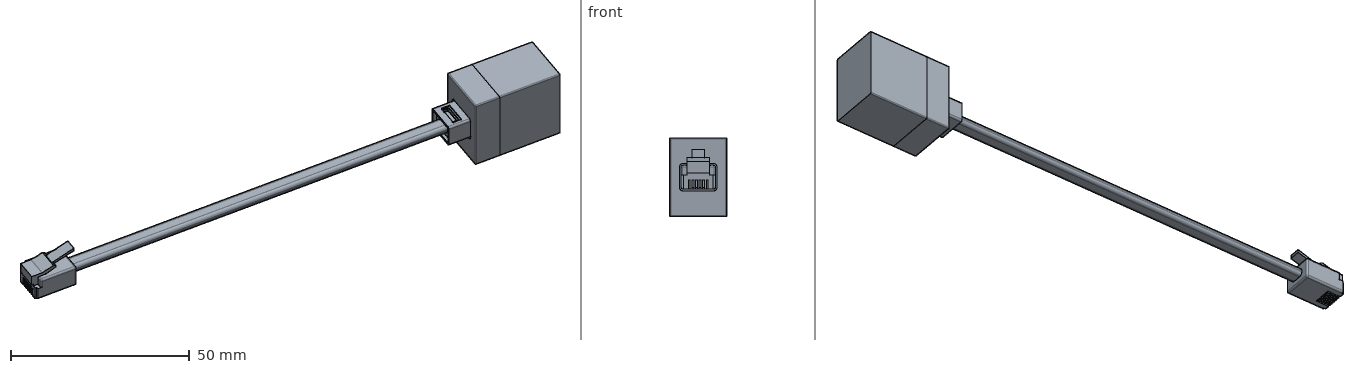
import cadquery as cq

housing_width = 16.0
housing_height = 22.0
housing_back_y = 83.5
housing_seam_y = 64.0
housing_front_y = 56.2
housing_edge_radius = 0.3

socket_width = 10.5
socket_height = 7.7
socket_depth = 2.5
socket_corner_radius = 1.0
body_width = 9.7
body_height = 6.7
edge_radius = 0.58
relief_front_y = 49.5

recess_width = 6.8
recess_front_y = 51.7
recess_length = 2.7
recess_step_count = 3
recess_step_depth = 0.3
recess_step_inset = 0.5

entry_width = 8.3
entry_height = 5.3
entry_depth = 1.0

cable_width = 4.7
cable_height = 2.7
cable_edge_radius = 1.08

plug_back_y = -70.0
plug_front_y = -83.0
plug_end_radius = 0.5
front_step_width = 8.3
front_step_length = 0.5
shoulder_y = -81.5
shoulder_z = 0.7
nose_width = 6.3
nose_front_y = -83.5
nose_bottom_z = 1.2
nose_top_z = 4.3
nose_root_y = -81.1

arm_hinge_y = -80.1
arm_step_y = -75.6
arm_tip_y = -69.1
arm_tip_z = 7.7
arm_underside_y = -79.0
arm_thickness = 1.0
arm_width = 3.5
arm_bevel_length = 0.8
arm_bevel_drop = 0.5
arm_top_offset = 0.25

slot_count = 6
contact_count = 4
slot_pitch = 1.0
slot_width = 0.5
slot_top_z = -0.8
slot_end_y = -78.8
contact_setback = 0.5


def box(width, y_start, y_end, z_bottom, z_top, x_center=0.0):
    """Block centred on x_center between the given Y and Z limits."""
    return (
        cq.Workplane("XY")
        .box(width, y_end - y_start, z_top - z_bottom, centered=(True, False, False))
        .translate((x_center, y_start, z_bottom))
    )


def rounded_bar(width, height, radius, y_start, y_end):
    """Bar along Y, centred on the cable axis, with its long edges rounded."""
    bar = box(width, y_start, y_end, -height / 2, height / 2)
    return bar.edges("|Y").fillet(radius)


def extrude_profile(points, width):
    """Solid with the given YZ outline, centred across X."""
    return cq.Workplane("YZ").polyline(points).close().extrude(width / 2, both=True)


def row_positions(count):
    """X positions of a centred row at the contact pitch."""
    return [(i - (count - 1) / 2) * slot_pitch for i in range(count)]


def make_housing_rear():
    half_height = housing_height / 2
    rear = box(housing_width, housing_seam_y, housing_back_y, -half_height, half_height)
    return rear.edges("|Y").fillet(housing_edge_radius)


def make_housing_front():
    half_height = housing_height / 2
    cap = box(housing_width, housing_front_y, housing_seam_y, -half_height, half_height)
    cap = cap.edges("|Y or <Y").fillet(housing_edge_radius)
    socket = rounded_bar(
        socket_width, socket_height, socket_corner_radius, housing_front_y, housing_front_y + socket_depth
    )
    return cap.cut(socket)


def make_strain_relief():
    relief = rounded_bar(
        body_width, body_height, edge_radius, relief_front_y, housing_front_y + socket_depth
    )
    top_z = body_height / 2
    for i in range(recess_step_count):
        inset = i * recess_step_inset
        step = box(
            recess_width - 2 * inset,
            recess_front_y,
            recess_front_y + recess_length - inset,
            top_z - (i + 1) * recess_step_depth,
            top_z,
        )
        relief = relief.cut(step)
    entry_end_y = relief_front_y + entry_depth
    return relief.cut(box(entry_width, relief_front_y, entry_end_y, -entry_height / 2, entry_height / 2))


def make_cable():
    return rounded_bar(
        cable_width, cable_height, cable_edge_radius, plug_back_y, relief_front_y + entry_depth
    )


def make_latch():
    slope = (arm_tip_z - nose_top_z) / (arm_tip_y - arm_hinge_y)
    step_z = nose_top_z + slope * (arm_step_y - arm_hinge_y)
    bevel_y = arm_step_y - arm_bevel_length
    bevel_z = step_z - slope * arm_bevel_length
    nose_and_wide_arm = [
        (nose_front_y, nose_bottom_z),
        (nose_front_y, nose_top_z),
        (arm_hinge_y, nose_top_z),
        (bevel_y, bevel_z),
        (arm_step_y, bevel_z - arm_bevel_drop),
        (arm_step_y, step_z - arm_thickness),
        (arm_underside_y, body_height / 2),
        (nose_root_y, body_height / 2),
        (nose_root_y, nose_bottom_z),
    ]
    narrow_arm = [
        (bevel_y, bevel_z - arm_top_offset),
        (arm_tip_y, arm_tip_z),
        (arm_tip_y, arm_tip_z - arm_thickness),
        (bevel_y, bevel_z - arm_thickness),
    ]
    return extrude_profile(nose_and_wide_arm, nose_width).union(extrude_profile(narrow_arm, arm_width))


def make_plug_front():
    """Front of the plug body: shoulders cut away beside the nose, outer strips set back."""
    half_height = body_height / 2
    joint_end_y = shoulder_y + plug_end_radius
    step_end_y = plug_front_y + front_step_length
    front = rounded_bar(body_width, body_height, edge_radius, plug_front_y, joint_end_y)
    shoulder_width = (body_width - nose_width) / 2
    shoulder_x = (body_width + nose_width) / 4
    step_width = (body_width - front_step_width) / 2
    step_x = (body_width + front_step_width) / 4
    for side in (-1, 1):
        shoulder = box(
            shoulder_width, plug_front_y, joint_end_y, shoulder_z, half_height, side * shoulder_x
        )
        step = box(step_width, plug_front_y, step_end_y, -half_height, half_height, side * step_x)
        front = front.cut(shoulder).cut(step)
    return front


def make_plug():
    plug = rounded_bar(body_width, body_height, edge_radius, shoulder_y, plug_back_y)
    plug = plug.faces("<Y or >Y").edges().fillet(plug_end_radius)
    plug = plug.union(make_plug_front()).union(make_latch())
    for x in row_positions(slot_count):
        slot = box(slot_width, plug_front_y, slot_end_y, -body_height / 2, slot_top_z, x)
        plug = plug.cut(slot)
    return plug


def make_contact(x):
    return box(
        slot_width,
        plug_front_y + contact_setback,
        slot_end_y,
        contact_setback - body_height / 2,
        slot_top_z,
        x,
    )


housing_rear = make_housing_rear()
housing_front = make_housing_front()
strain_relief = make_strain_relief()
cable = make_cable()
plug = make_plug()
contacts = [make_contact(x) for x in row_positions(contact_count)]

result = cq.Compound.makeCompound(
    [
        housing_rear.val(),
        housing_front.val(),
        strain_relief.val(),
        cable.val(),
        plug.val(),
        *[contact.val() for contact in contacts],
    ]
)